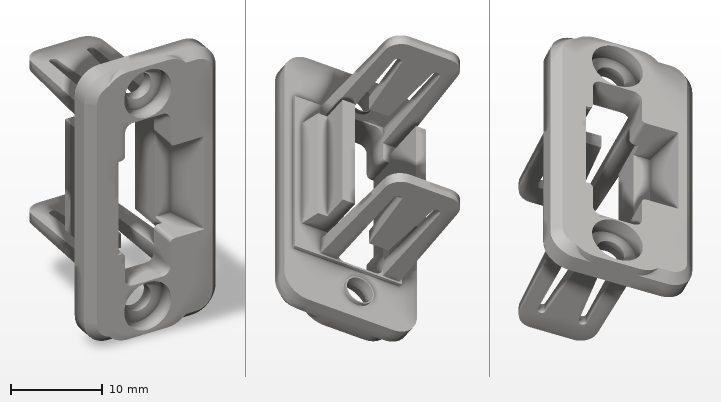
import cadquery as cq

plate_height = 33.83
plate_width = 16.75
plate_depth = 3.05
plate_corner = 3.05
rim_chamfer = 1.0

axis_y = -0.88
block_flat = 5.0
block_corner = 3.28

pad_depth = 0.5
pad_y_max = 7.3
pad_y_min = -6.15
pad_height = 21.05

hole_z = 13.43
hole_diameter = 3.25
counterbore_diameter = 6.0
counterbore_x = 1.0
collar_diameter = 3.52

finger_tip_x = -15.97
finger_outer_z = 10.3
finger_tip_thickness = 1.22
finger_base_thickness = 1.95
finger_tip_width = 9.05
finger_base_width = 9.95
finger_corner = 2.03
slot_end_x = -13.45
slot_radius = 0.47
tongue_end_x = -4.67
tongue_end_width = 2.47
leg_gap = 5.8

window_height = 20.57
window_corner = 1.0
wide_window_height = 11.77
tab_corner = 0.5

wall_height = 14.0
wall_tip_x = -6.33
upper_wall_inner_y = 3.08
upper_wall_outer_y = 4.65
ledge_x = -2.95
ledge_y = 5.8
ledge_base_y = 6.45
lower_wall_inner_y = -4.6
lower_wall_outer_y = -5.85

recess_x = -2.03
recess_start_y = 5.0
recess_end_y = 6.35


def box(x_min, x_max, y_min, y_max, height):
    """Box centred on z = 0."""
    return cq.Workplane("XY").box(
        x_max - x_min, y_max - y_min, height, centered=(False, False, True)
    ).translate((x_min, y_min, 0))


def make_plate():
    plate = (
        cq.Workplane("YZ")
        .rect(plate_width, plate_height)
        .extrude(plate_depth)
        .edges("|X")
        .fillet(plate_corner)
        .faces(">X")
        .chamfer(rim_chamfer)
    )
    block = (
        cq.Workplane("YZ")
        .center(axis_y, 0)
        .rect(block_flat + 2 * block_corner, plate_height)
        .extrude(plate_depth)
        .edges("|X")
        .fillet(block_corner)
    )
    return plate.union(block)


def make_finger():
    """Upper finger: a tapered plate with a tongue between two legs."""
    half_tip = finger_tip_width / 2
    half_base = finger_base_width / 2
    outline = (
        cq.Workplane("XY")
        .polyline([
            (finger_tip_x, axis_y - half_tip),
            (-pad_depth, axis_y - half_base),
            (-pad_depth, axis_y + half_base),
            (finger_tip_x, axis_y + half_tip),
        ])
        .close()
        .extrude(finger_outer_z)
        .edges("|Z and <X")
        .fillet(finger_corner)
    )
    side_profile = (
        cq.Workplane("XZ")
        .polyline([
            (finger_tip_x, finger_outer_z),
            (-pad_depth, finger_outer_z),
            (-pad_depth, finger_outer_z - finger_base_thickness),
            (finger_tip_x, finger_outer_z - finger_tip_thickness),
        ])
        .close()
        .extrude(plate_width, both=True)
    )
    half_gap = leg_gap / 2
    half_tongue = tongue_end_width / 2
    slot_x = slot_end_x + slot_radius
    finger = outline.intersect(side_profile)
    for side in (1, -1):
        slot = (
            cq.Workplane("XY")
            .moveTo(-pad_depth, axis_y)
            .lineTo(-pad_depth, axis_y + side * half_gap)
            .lineTo(slot_x, axis_y + side * half_gap)
            .threePointArc(
                (slot_end_x, axis_y + side * (half_gap - slot_radius)),
                (slot_x, axis_y + side * (half_gap - 2 * slot_radius)),
            )
            .lineTo(tongue_end_x, axis_y + side * half_tongue)
            .lineTo(tongue_end_x, axis_y)
            .close()
            .extrude(finger_outer_z)
        )
        finger = finger.cut(slot)
    return finger


def make_upper_wall():
    return (
        cq.Workplane("XY")
        .polyline([
            (-pad_depth, upper_wall_inner_y),
            (wall_tip_x, upper_wall_inner_y),
            (wall_tip_x, upper_wall_outer_y),
            (ledge_x, upper_wall_outer_y),
            (ledge_x, ledge_y),
            (-pad_depth, ledge_base_y),
        ])
        .close()
        .extrude(wall_height / 2, both=True)
    )


def make_window():
    """Narrow window, widened at mid height, leaving four rounded tabs."""
    half_gap = leg_gap / 2
    narrow = box(-pad_depth, plate_depth, axis_y - half_gap, axis_y + half_gap, window_height)
    narrow = narrow.edges("|X").fillet(window_corner)
    wide = box(-pad_depth, plate_depth, lower_wall_inner_y, upper_wall_inner_y, wide_window_height)
    half_wide = wide_window_height / 2
    margin = tab_corner
    tab_edges = cq.selectors.BoxSelector(
        (-plate_depth, axis_y - half_gap - margin, -half_wide - margin),
        (plate_depth, axis_y + half_gap + margin, half_wide + margin),
    )
    return narrow.union(wide).edges("|X").edges(tab_edges).fillet(tab_corner)


def make_recess():
    """Pocket in the upper wall, with a slanted outer side, open to the window."""
    return (
        cq.Workplane("XY")
        .polyline([
            (recess_x, upper_wall_inner_y),
            (recess_x, recess_start_y),
            (plate_depth, recess_end_y),
            (plate_depth, upper_wall_inner_y),
        ])
        .close()
        .extrude(wide_window_height / 2, both=True)
    )


def screw_cylinders(diameter, x_min, x_max):
    return (
        cq.Workplane("YZ", origin=(x_min, 0, 0))
        .pushPoints([(axis_y, hole_z), (axis_y, -hole_z)])
        .circle(diameter / 2)
        .extrude(x_max - x_min)
    )


body = make_plate().union(box(-pad_depth, 0, pad_y_min, pad_y_max, pad_height))
body = body.union(screw_cylinders(collar_diameter, -pad_depth, 0))
body = body.union(make_upper_wall())
body = body.union(box(wall_tip_x, -pad_depth, lower_wall_outer_y, lower_wall_inner_y, wall_height))
body = body.cut(make_window()).cut(make_recess())
body = body.cut(screw_cylinders(hole_diameter, -pad_depth, plate_depth))
body = body.cut(screw_cylinders(counterbore_diameter, counterbore_x, plate_depth))

finger = make_finger()
result = body.union(finger).union(finger.mirror("XY"))